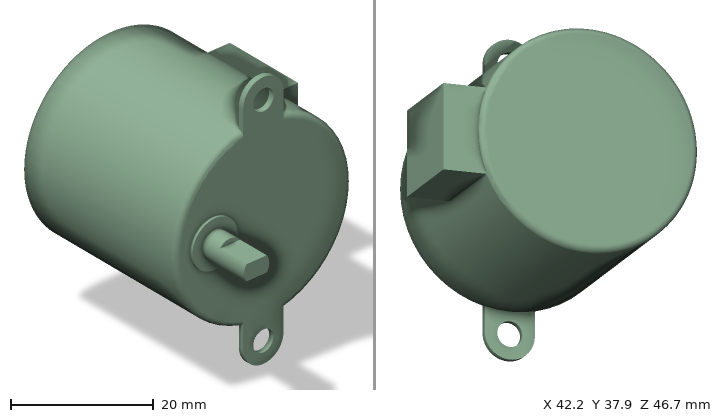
import cadquery as cq

body_diameter = 32.7
body_length = 32.9
body_edge_radius = 0.95

overall_height = 46.7
tab_width = 7.48
tab_thickness = 0.95
tab_hole_diameter = 3.75
tab_hole_spacing = overall_height - tab_width

shaft_offset = -9.35
shaft_diameter = 4.65
shaft_length = 9.35
flat_length = 5.7
flat_thickness = 2.8
boss_diameter = 8.4
boss_length = 0.45

connector_start = 0.95
connector_length = 14.6
connector_width = 12.6
connector_protrusion = 5.15
connector_inner_y = body_diameter / 4


def cylinder_along_x(diameter, start, length, y=0.0):
    plane = cq.Workplane("YZ", origin=(start, y, 0))
    return plane.circle(diameter / 2).extrude(length)


def make_body():
    body = cylinder_along_x(body_diameter, 0, body_length)
    return body.faces("<X or >X").edges().fillet(body_edge_radius)


def mounting_plane():
    return cq.Workplane("YZ", origin=(body_length - tab_thickness, 0, 0))


def make_tabs():
    strap = mounting_plane().slot2D(overall_height, tab_width, 90).extrude(tab_thickness)
    hole_centers = [(0, -tab_hole_spacing / 2), (0, tab_hole_spacing / 2)]
    holes = mounting_plane().pushPoints(hole_centers).circle(tab_hole_diameter / 2).extrude(tab_thickness)
    return strap.cut(holes)


def make_shaft():
    round_length = shaft_length - flat_length
    round_part = cylinder_along_x(shaft_diameter, body_length, round_length, shaft_offset)
    flat_start = body_length + round_length
    flat_part = cylinder_along_x(shaft_diameter, flat_start, flat_length, shaft_offset)
    flat_limits = cq.Workplane("YZ", origin=(flat_start, shaft_offset, 0))
    flat_limits = flat_limits.rect(shaft_diameter, flat_thickness).extrude(flat_length)
    return round_part.union(flat_part.intersect(flat_limits))


def make_connector():
    depth = body_diameter / 2 + connector_protrusion - connector_inner_y
    block = cq.Workplane("XY").box(connector_length, depth, connector_width, centered=(False, False, True))
    return block.translate((connector_start, connector_inner_y, 0))


boss = cylinder_along_x(boss_diameter, body_length, boss_length, shaft_offset)
result = make_body().union(make_tabs()).union(make_connector()).union(boss).union(make_shaft())